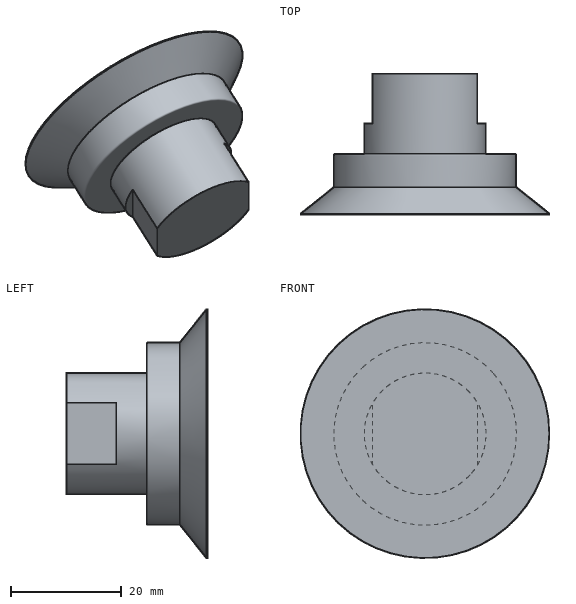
import cadquery as cq
import math

face_diameter = 45.0
collar_diameter = 33.0
shank_diameter = 22.0
total_length = 25.5
rim_thickness = 0.2
flare_end = 5.0
collar_end = 11.0
collar_fillet = 0.3
flat_width = 19.0
flat_length = 9.0

face_radius = face_diameter / 2
collar_radius = collar_diameter / 2
shank_radius = shank_diameter / 2


def turned_body():
    """Flared face, collar with a rounded back edge, and shank, as one revolved profile."""
    arc_inset = collar_fillet * (1 - math.sqrt(0.5))
    return (
        cq.Workplane("XY")
        .lineTo(face_radius, 0)
        .lineTo(face_radius, rim_thickness)
        .lineTo(collar_radius, flare_end)
        .lineTo(collar_radius, collar_end - collar_fillet)
        .threePointArc(
            (collar_radius - arc_inset, collar_end - arc_inset),
            (collar_radius - collar_fillet, collar_end),
        )
        .lineTo(shank_radius, collar_end)
        .lineTo(shank_radius, total_length)
        .lineTo(0, total_length)
        .close()
        .revolve(360, (0, 0, 0), (0, 1, 0))
    )


def flat_cutter(side):
    """Block that removes the shank beyond one wrench flat; side is +1 or -1 along X."""
    depth = shank_radius - flat_width / 2
    return cq.Workplane("XY").box(depth, flat_length, shank_diameter).translate(
        (side * (flat_width + depth) / 2, total_length - flat_length / 2, 0)
    )


result = turned_body()
for side in (-1, 1):
    result = result.cut(flat_cutter(side))